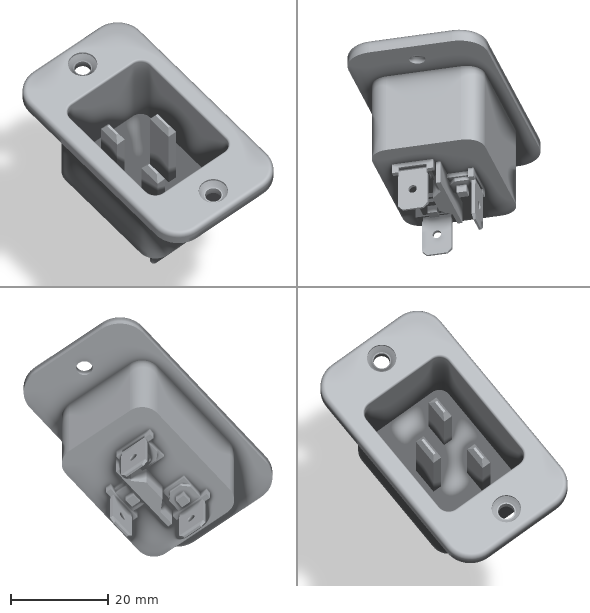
import cadquery as cq

flange_length = 52.7
flange_width = 29.6
flange_thickness = 3.0
flange_corner_radius = 6.0
flange_edge_radius = 1.0

screw_spacing = 42.0
screw_hole_diameter = 3.35
screw_recess_diameter = 6.0
screw_recess_depth = 0.5
countersink_depth = 1.4
countersink_bottom_diameter = 3.9

shell_length = 32.0
shell_width = 24.0
shell_corner_radius = 4.0
shell_bottom = -20.5
cavity_length = 29.3
cavity_width = 21.3
cavity_corner_radius = 2.5
cavity_depth = 18.5
cavity_rim_radius = 0.5

line_contact_x = 6.5
earth_contact_y = 4.0
line_contact_y = -earth_contact_y

pin_thickness = 2.0
pin_tip_thickness = 0.55
line_pin_width = 5.2
line_pin_tip_width = 2.9
earth_pin_width = 5.95
earth_pin_tip_width = 4.05
line_pin_top = -4.05
earth_pin_top = -1.15
pin_taper_height = 1.6

holder_reach = 3.5
holder_thickness = 1.2
holder_width = 8.8
holder_bottom = -22.55
holder_notch_top = -21.45
holder_notch_depth = 0.95

blade_thickness = 0.8
blade_width = 6.25
blade_neck_width = 5.95
blade_shoulder_z = -23.5
blade_bottom = -31.5
blade_tip_height = 0.95
blade_tip_thickness = 0.5
blade_hole_diameter = 1.8
blade_hole_z = -27.0

pad_width = 5.6
earth_upper_pad_width = 6.65
upper_pad_bottom = -21.45
upper_pad_inner_reach = 3.15
lower_pad_bottom = -22.25
lower_pad_inner_reach = 2.5
lower_pad_bevel = 1.4
knob_size = 2.05
knob_bottom = -23.85

shield_length = 17.2
shield_back_y = 1.6
shield_thickness = 1.0
shield_bottom = -25.45
bulge_base_length = 9.75
bulge_depth = 2.25


def block(x_range, y_range, z_range):
    """Box filling the given ranges."""
    size = [upper - lower for lower, upper in (x_range, y_range, z_range)]
    corner = (x_range[0], y_range[0], z_range[0])
    return cq.Workplane("XY").box(*size, centered=False).translate(corner)


def rounded_block(length, width, corner_radius, bottom, top):
    """Upright block centred on Z with rounded vertical edges."""
    half_length = length / 2
    half_width = width / 2
    solid = block((-half_length, half_length), (-half_width, half_width), (bottom, top))
    return solid.edges("|Z").fillet(corner_radius)


def make_housing():
    """Flange and shell with the open plug cavity and the two screw holes."""
    flange = rounded_block(flange_length, flange_width, flange_corner_radius, -flange_thickness, 0)
    flange = flange.faces(">Z").edges().fillet(flange_edge_radius)
    shell = rounded_block(shell_length, shell_width, shell_corner_radius, shell_bottom, -flange_thickness)
    cavity = rounded_block(cavity_length, cavity_width, cavity_corner_radius, -cavity_depth, 0)
    housing = flange.union(shell).cut(cavity)
    rim_corner = cq.Vector(shell_length / 2, shell_width / 2, flange_thickness)
    rim_region = cq.selectors.BoxSelector(-rim_corner, rim_corner)
    housing = housing.faces(">Z").edges(rim_region).fillet(cavity_rim_radius)
    for x in (-screw_spacing / 2, screw_spacing / 2):
        housing = housing.cut(make_screw_hole().translate((x, 0, 0)))
    return housing


def make_screw_hole():
    """Cutter for one stepped and countersunk screw hole, revolved about its axis."""
    hole_radius = screw_hole_diameter / 2
    recess_radius = screw_recess_diameter / 2
    ledge_radius = countersink_bottom_diameter / 2
    return (
        cq.Workplane("XZ")
        .moveTo(0, 0)
        .lineTo(recess_radius, 0)
        .lineTo(recess_radius, -screw_recess_depth)
        .lineTo(ledge_radius, -countersink_depth)
        .lineTo(hole_radius, -countersink_depth)
        .lineTo(hole_radius, -flange_thickness)
        .lineTo(0, -flange_thickness)
        .close()
        .revolve(360, (0, 0, 0), (0, 1, 0))
    )


def make_pin(width, tip_width, top):
    """Contact pin rising from the cavity floor to a tapered tip."""
    taper_start = top - pin_taper_height
    half_width = width / 2
    half_thickness = pin_thickness / 2
    shank = block((-half_width, half_width), (-half_thickness, half_thickness), (shell_bottom, taper_start))
    tip = (
        cq.Workplane("XY", origin=(0, 0, taper_start))
        .rect(width, pin_thickness)
        .workplane(offset=pin_taper_height)
        .rect(tip_width, pin_tip_thickness)
        .loft()
    )
    return shank.union(tip)


def make_blade():
    """Terminal blade pointing down, its outer face at X = holder_reach."""
    half_width = blade_width / 2
    half_neck = blade_neck_width / 2
    tip_start = blade_bottom + blade_tip_height
    half_tip = half_width - blade_tip_height
    inner_x = holder_reach - blade_thickness
    middle_x = holder_reach - blade_thickness / 2
    half_tip_thickness = blade_tip_thickness / 2
    face = (
        cq.Workplane("YZ", origin=(inner_x, 0, 0))
        .moveTo(-half_neck, holder_bottom)
        .lineTo(half_neck, holder_bottom)
        .lineTo(half_neck, blade_shoulder_z)
        .lineTo(half_width, blade_shoulder_z)
        .lineTo(half_width, tip_start)
        .lineTo(half_tip, blade_bottom)
        .lineTo(-half_tip, blade_bottom)
        .lineTo(-half_width, tip_start)
        .lineTo(-half_width, blade_shoulder_z)
        .lineTo(-half_neck, blade_shoulder_z)
        .close()
        .extrude(blade_thickness)
    )
    thickness_profile = (
        cq.Workplane("XZ", origin=(0, half_width, 0))
        .moveTo(inner_x, holder_bottom)
        .lineTo(holder_reach, holder_bottom)
        .lineTo(holder_reach, tip_start)
        .lineTo(middle_x + half_tip_thickness, blade_bottom)
        .lineTo(middle_x - half_tip_thickness, blade_bottom)
        .lineTo(inner_x, tip_start)
        .close()
        .extrude(blade_width)
    )
    hole = (
        cq.Workplane("YZ", origin=(inner_x, 0, 0))
        .center(0, blade_hole_z)
        .circle(blade_hole_diameter / 2)
        .extrude(blade_thickness)
    )
    return face.intersect(thickness_profile).cut(hole)


def make_terminal(upper_pad_width):
    """Holder, stepped pad, knob and blade around the contact axis, facing +X."""
    inner_x = holder_reach - holder_thickness
    half_holder = holder_width / 2
    half_pad = pad_width / 2
    half_upper_pad = upper_pad_width / 2
    half_knob = knob_size / 2

    holder = block((inner_x, holder_reach), (-half_holder, half_holder), (holder_bottom, shell_bottom))
    notch = (
        cq.Workplane("XZ", origin=(0, blade_neck_width / 2, 0))
        .moveTo(holder_reach, holder_notch_top)
        .lineTo(holder_reach, holder_notch_top - holder_notch_depth)
        .lineTo(holder_reach - holder_notch_depth, holder_notch_top)
        .close()
        .extrude(blade_neck_width)
    )
    upper_pad = block(
        (-upper_pad_inner_reach, inner_x), (-half_upper_pad, half_upper_pad), (upper_pad_bottom, shell_bottom)
    )
    lower_pad = block(
        (-lower_pad_inner_reach, inner_x), (-half_pad, half_pad), (lower_pad_bottom, shell_bottom)
    )
    lower_pad = lower_pad.edges("|Z and <X").chamfer(lower_pad_bevel)
    knob = block((-half_knob, half_knob), (-half_knob, half_knob), (knob_bottom, shell_bottom))
    return holder.cut(notch).union(upper_pad).union(lower_pad).union(knob).union(make_blade())


def make_shield():
    """Wall along X whose bulge toward -Y has 45 degree flanks."""
    front_y = shield_back_y - shield_thickness
    half_base = bulge_base_length / 2
    half_crest = half_base - bulge_depth
    return (
        cq.Workplane("XY", origin=(0, 0, shield_bottom))
        .moveTo(-shield_length / 2, shield_back_y)
        .lineTo(-shield_length / 2, front_y)
        .lineTo(-half_base, front_y)
        .lineTo(-half_crest, front_y - bulge_depth)
        .lineTo(half_crest, front_y - bulge_depth)
        .lineTo(half_base, front_y)
        .lineTo(shield_length / 2, front_y)
        .lineTo(shield_length / 2, shield_back_y)
        .close()
        .extrude(shell_bottom - shield_bottom)
    )


line_pin = make_pin(line_pin_width, line_pin_tip_width, line_pin_top)
earth_pin = make_pin(earth_pin_width, earth_pin_tip_width, earth_pin_top)

contacts = [
    (-line_contact_x, line_contact_y, 180, line_pin, pad_width),
    (line_contact_x, line_contact_y, 0, line_pin, pad_width),
    (0, earth_contact_y, 90, earth_pin, earth_upper_pad_width),
]

result = make_housing().union(make_shield())
for x, y, facing_angle, pin, upper_pad_width in contacts:
    terminal = make_terminal(upper_pad_width).rotate((0, 0, 0), (0, 0, 1), facing_angle)
    result = result.union(pin.translate((x, y, 0))).union(terminal.translate((x, y, 0)))